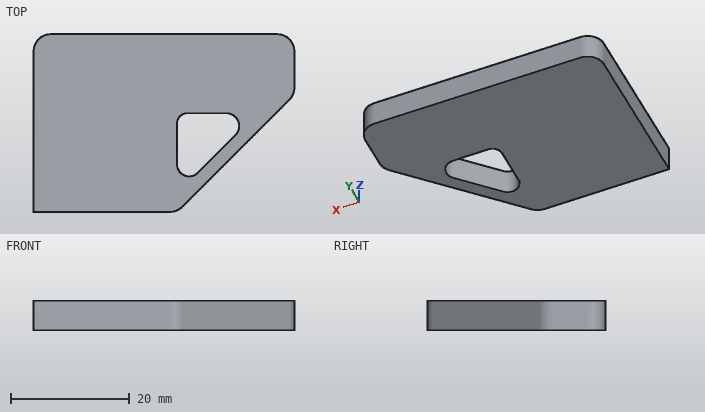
import cadquery as cq
import math

length = 44.0
width = 30.0
thickness = 5.0
corner_radius = 3.0
cut_leg = 19.8
cut_start_x = length - cut_leg

window_left = cut_start_x
window_top = 16.64
rim_width = 2.22
window_square_radius = 1.75
window_right_radius = 2.16
window_lower_radius = 2.04


def make_plate():
    """Rectangle with one corner cut at 45 degrees; the corner at the origin stays sharp."""
    outline = [(0, 0), (cut_start_x, 0), (length, cut_leg), (length, width), (0, width)]
    plate = cq.Workplane("XY").polyline(outline).close().extrude(thickness)
    return plate.edges("|Z and (not (<X and <Y))").fillet(corner_radius)


def make_window():
    """Right-angled triangular prism with rounded corners, as tall as the plate."""
    diagonal_offset = cut_start_x - rim_width * math.sqrt(2)
    square_corner = (window_left, window_top)
    lower_corner = (window_left, window_left - diagonal_offset)
    right_corner = (window_top + diagonal_offset, window_top)
    triangle = [square_corner, lower_corner, right_corner]
    prism = cq.Workplane("XY").polyline(triangle).close().extrude(thickness)

    radii = [window_square_radius, window_lower_radius, window_right_radius]
    for (x, y), radius in zip(triangle, radii):
        corner_edge = cq.selectors.NearestToPointSelector((x, y, thickness / 2))
        prism = prism.edges("|Z").edges(corner_edge).fillet(radius)
    return prism


result = make_plate().cut(make_window())